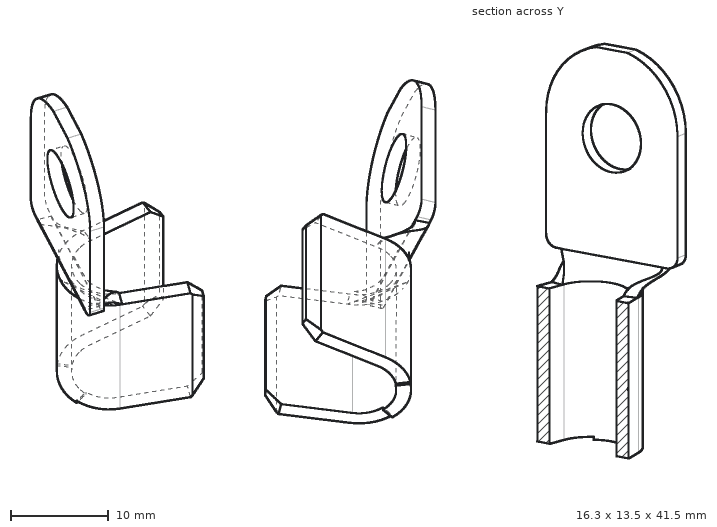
import math

import cadquery as cq

sheet = 1.524
total_length = 41.53
total_depth = 13.46

tongue_width = 16.26
tongue_bottom = 19.45
tongue_corner_radius = 1.3
tongue_arc_radius = tongue_width / 2
tongue_flat_width = 3.86
hole_diameter = 7.2
hole_height = 32.15

barrel_inner_radius = 3.81
barrel_outer_radius = barrel_inner_radius + sheet
barrel_length = 16.51
wing_lean = math.radians(10)
wing_bevel_depth = sheet / 2
wing_bevel_angle = math.radians(30)
wing_bevel_length = wing_bevel_depth / math.tan(wing_bevel_angle)
wing_corner_length = 1.55
wing_corner_height = 1.72

tab_height = 0.3
tab_half_angle = math.radians(30)

neck_root_along = 0.25
neck_top_inset = 0.02
neck_shapes = [
    (17.65, 0.25, 1.8, (5.32, 3.4), (4.1, 4.2)),
    (18.35, 0.45, 1.95, (5.85, 1.5), (5.2, 2.6)),
    (19.0, 0.2, 1.75, (6.2, 0.15), (6.1, 1.6)),
    (tongue_bottom, neck_top_inset, sheet - neck_top_inset, (6.35, 0.05), (6.25, sheet)),
]

barrel_bottom = tab_height
barrel_top = barrel_bottom + barrel_length


def barrel_point(radius, along=0.0):
    """XY point on the right wing: tangent point at this radius, moved along the wing."""
    x = radius * math.cos(wing_lean) + along * math.sin(wing_lean)
    y = barrel_outer_radius - radius * math.sin(wing_lean) + along * math.cos(wing_lean)
    return (x, y)


def mirror(point):
    return (-point[0], point[1])


wing_length = (total_depth - barrel_point(barrel_inner_radius)[1]) / math.cos(wing_lean)


def make_tongue():
    flat_half = tongue_flat_width / 2
    arc_center = total_length - math.sqrt(tongue_arc_radius**2 - flat_half**2)
    half_width = tongue_width / 2
    rise = tongue_arc_radius / math.sqrt(2)
    tongue = (
        cq.Workplane("XZ")
        .moveTo(-half_width, tongue_bottom)
        .lineTo(half_width, tongue_bottom)
        .lineTo(half_width, arc_center)
        .threePointArc((rise, arc_center + rise), (flat_half, total_length))
        .lineTo(-flat_half, total_length)
        .threePointArc((-rise, arc_center + rise), (-half_width, arc_center))
        .close()
        .extrude(-sheet)
    )
    lower_corners = cq.selectors.BoxSelector(
        (-tongue_width, -sheet, tongue_bottom - sheet),
        (tongue_width, 2 * sheet, tongue_bottom + sheet),
    )
    tongue = tongue.edges("|Y").edges(lower_corners).fillet(tongue_corner_radius)
    hole = cq.Workplane("XZ").center(0, hole_height).circle(hole_diameter / 2).extrude(-sheet)
    return tongue.cut(hole)


def make_barrel():
    outer_start = barrel_point(barrel_outer_radius)
    inner_start = barrel_point(barrel_inner_radius)
    bevel_start = barrel_point(barrel_outer_radius, wing_length - wing_bevel_length)
    outer_tip = barrel_point(barrel_outer_radius - wing_bevel_depth, wing_length)
    inner_tip = barrel_point(barrel_inner_radius, wing_length)
    barrel = (
        cq.Workplane("XY", origin=(0, 0, barrel_bottom))
        .moveTo(*mirror(outer_start))
        .threePointArc((0, 0), outer_start)
        .lineTo(*bevel_start)
        .lineTo(*outer_tip)
        .lineTo(*inner_tip)
        .lineTo(*inner_start)
        .threePointArc((0, sheet), mirror(inner_start))
        .lineTo(*mirror(inner_tip))
        .lineTo(*mirror(outer_tip))
        .lineTo(*mirror(bevel_start))
        .close()
        .extrude(barrel_length)
    )
    for side in (-1, 1):
        for end, inward in ((barrel_bottom, 1), (barrel_top, -1)):
            barrel = barrel.cut(make_wing_corner(side, end, inward))
    return barrel


def make_wing_corner(side, end, inward):
    """Wedge that clips one wing corner, at right angles to the wing."""
    tip = barrel_point(barrel_inner_radius, wing_length)
    plane = cq.Plane(
        origin=(side * tip[0], tip[1], end),
        xDir=(side * math.sin(wing_lean), math.cos(wing_lean), 0),
        normal=(side * math.cos(wing_lean), -math.sin(wing_lean), 0),
    )
    local_inward = inward * plane.yDir.z
    corner = [(-wing_corner_length, 0), (0, 0), (0, local_inward * wing_corner_height)]
    return cq.Workplane(plane).polyline(corner).close().extrude(2 * sheet, both=True)


def make_tab():
    def ring_point(radius, angle):
        return (radius * math.sin(angle), barrel_outer_radius - radius * math.cos(angle))

    outer = ring_point(barrel_outer_radius, tab_half_angle)
    inner = ring_point(barrel_inner_radius, tab_half_angle)
    return (
        cq.Workplane("XY")
        .moveTo(*mirror(outer))
        .threePointArc((0, 0), outer)
        .lineTo(*inner)
        .threePointArc((0, sheet), mirror(inner))
        .close()
        .extrude(tab_height)
    )


def neck_section(height, front, back, outer_end, inner_end):
    """Curved strip: front and back give its middle, the ends give its right tip."""
    section = (
        cq.Workplane("XY", origin=(0, 0, height))
        .moveTo(*mirror(outer_end))
        .threePointArc((0, front), outer_end)
        .lineTo(*inner_end)
        .threePointArc((0, back), mirror(inner_end))
        .close()
    )
    return section.val()


def make_neck():
    """The U flattens and widens in steps, dented inward midway, until it meets the tongue."""
    root_outer = barrel_point(barrel_outer_radius, neck_root_along)
    root_inner = barrel_point(barrel_inner_radius, neck_root_along)
    sections = [neck_section(barrel_top, 0, sheet, root_outer, root_inner)]
    for shape in neck_shapes:
        sections.append(neck_section(*shape))
    return cq.Workplane(cq.Solid.makeLoft(sections))


result = make_barrel().union(make_tab()).union(make_neck()).union(make_tongue())